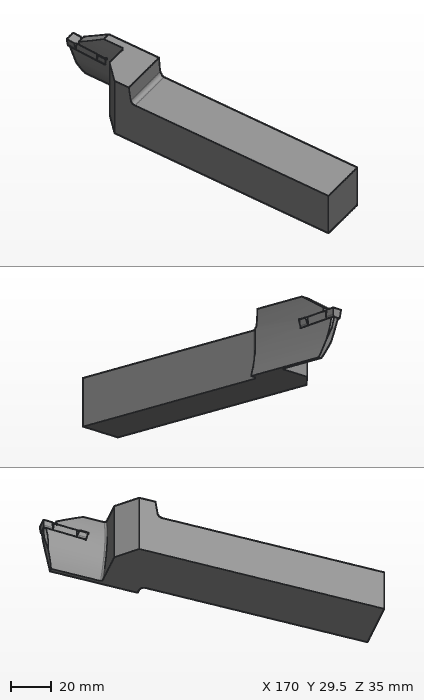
import cadquery as cq
import math

overall_length = 170.0
shank_width = 25.0
shank_height = 25.0
edge_height = shank_height

head_height = 35.0
head_front_x = 33.0
head_corner_chamfer = 9.6
head_back_x = 51.1
head_back_angle = 8.0
head_back_fillet = 2.5

blade_front_y = 20.85
blade_front_radius = 50.0
blade_back_y = 25.6
blade_back_radius = 81.9
blade_root_fillet = 1.0
bulge_end_x = 52.2
bulge_fillet = 2.5

clamp_ramp_angle = 31.0
clamp_ramp_top_x = 21.1
clamp_nose_x = 6.8
clamp_heel_x = 7.3
tip_x = 0.5
tip_upper_angle = 10.0
tip_break_z = 15.2
tip_foot_x = 6.5
tip_chamfer = 1.0

insert_tilt = 3.4
insert_length = 23.3
insert_height = 4.5
insert_end_clearance = 7.5
insert_body_width = 4.5
insert_head_width = 5.7
insert_head_lower_width = 4.9
insert_head_length = 4.4
insert_neck_length = 1.2
insert_head_side_height = 3.2
insert_head_height = 4.2
insert_center_y = (blade_front_y + blade_back_y) / 2
seat_relief_radius = 0.45

clear = 5.0
cutting_width = 50.0


def arc_y(apex_y, radius, z):
    """Y of a blade side at height z."""
    return apex_y + radius - math.sqrt(radius**2 - (z - edge_height) ** 2)


def blade_side_region(apex_y, radius, start_y, z_low, z_high, start_x, length):
    """Prism along X between the plane Y = start_y and one curved blade side."""
    return (
        cq.Workplane("YZ", origin=(start_x, 0, 0))
        .moveTo(start_y, z_low)
        .lineTo(arc_y(apex_y, radius, z_low), z_low)
        .threePointArc((apex_y, edge_height), (arc_y(apex_y, radius, z_high), z_high))
        .lineTo(start_y, z_high)
        .close()
        .extrude(length)
    )


def tilted(x, depth):
    """XZ point at a distance x along the insert's top and a depth below it."""
    angle = math.radians(insert_tilt)
    return (
        x * math.cos(angle) - depth * math.sin(angle),
        edge_height - x * math.sin(angle) - depth * math.cos(angle),
    )


def extrude_y(points, y_low, y_high):
    """Prism along Y with an XZ outline."""
    return cq.Workplane("XZ", origin=(0, y_high, 0)).polyline(points).close().extrude(y_high - y_low)


def tip_point(z):
    """XZ point on the upper tip face at height z."""
    seat_z = edge_height - insert_height
    return (tip_x + (seat_z - z) * math.tan(math.radians(tip_upper_angle)), z)


def side_outline():
    """Holder silhouette in XZ, extruded across the whole width."""
    lean = math.radians(head_back_angle)
    wall_drop = head_height - shank_height - head_back_fillet * (1 - math.sin(lean))
    wall_x = head_back_x + wall_drop * math.tan(lean)
    center_x = wall_x + head_back_fillet * math.cos(lean)
    center_z = shank_height + head_back_fillet
    arc_middle = math.radians((180 + head_back_angle + 270) / 2)
    mid = (
        center_x + head_back_fillet * math.cos(arc_middle),
        center_z + head_back_fillet * math.sin(arc_middle),
    )
    nose_z = head_height - (clamp_ramp_top_x - clamp_nose_x) * math.tan(math.radians(clamp_ramp_angle))
    heel_z = edge_height - clamp_heel_x * math.tan(math.radians(insert_tilt))
    return (
        cq.Workplane("XZ", origin=(0, cutting_width, 0))
        .moveTo(*tip_point(0))
        .lineTo(overall_length, 0)
        .lineTo(overall_length, shank_height)
        .lineTo(center_x, shank_height)
        .threePointArc(mid, (wall_x, head_height - wall_drop))
        .lineTo(head_back_x, head_height)
        .lineTo(clamp_ramp_top_x, head_height)
        .lineTo(clamp_nose_x, nose_z)
        .lineTo(clamp_heel_x, heel_z)
        .lineTo(*tip_point(edge_height - insert_height))
        .close()
        .extrude(cutting_width)
    )


def head_blank():
    """Head with the curved back, run out into the shank by a concave fillet."""
    fillet_center_x = bulge_end_x + bulge_fillet
    curved = blade_side_region(blade_back_y, blade_back_radius, 0, 0, head_height, 0, fillet_center_x)
    fillet_center_y = shank_width + bulge_fillet
    reach = bulge_fillet * math.sqrt(0.5)
    plan = (
        cq.Workplane("XY")
        .lineTo(fillet_center_x, 0)
        .lineTo(fillet_center_x, shank_width)
        .threePointArc((fillet_center_x - reach, fillet_center_y - reach), (bulge_end_x, fillet_center_y))
        .lineTo(bulge_end_x, cutting_width)
        .lineTo(0, cutting_width)
        .close()
        .extrude(head_height)
    )
    return curved.intersect(plan)


def blade_clearance():
    """Space in front of the blade, rounded where the blade meets the head."""
    tool = blade_side_region(
        blade_front_y, blade_front_radius, -clear, -clear, head_height + clear,
        -clear, head_front_x + clear,
    )
    root_edge = tool.faces(">X").edges("%CIRCLE")
    return root_edge.fillet(blade_root_fillet)


def head_corner():
    """Triangular prism cut from the head's front corner."""
    return (
        cq.Workplane("XY")
        .moveTo(head_front_x, head_corner_chamfer)
        .lineTo(head_front_x + head_corner_chamfer, 0)
        .lineTo(head_front_x, 0)
        .close()
        .extrude(head_height)
    )


def tip_corner(apex_y, radius, inward):
    """45 degree wedge along one edge of the upper tip face, down to where the lower relief ends it."""
    lower_run = tip_foot_x - tip_point(tip_break_z)[0]
    extra_slope = lower_run / tip_break_z - math.tan(math.radians(tip_upper_angle))
    fade_z = tip_break_z - tip_chamfer / extra_slope

    def section(z):
        x = tip_point(z)[0]
        y = arc_y(apex_y, radius, z)
        return cq.Wire.makePolygon(
            [
                cq.Vector(x - tip_chamfer, y - inward * tip_chamfer, z),
                cq.Vector(x - tip_chamfer, y + 2 * inward * tip_chamfer, z),
                cq.Vector(x + 2 * tip_chamfer, y - inward * tip_chamfer, z),
            ],
            close=True,
        )

    seat_z = edge_height - insert_height
    return cq.Workplane(cq.Solid.makeLoft([section(fade_z), section(seat_z)], True))


def lower_tip_clearance():
    """Steeper relief that takes the lower part of the tip back to the foot."""
    outer_x = tip_point(0)[0] - clear
    return extrude_y([tip_point(tip_break_z), (tip_foot_x, 0), (outer_x, 0)], 0, cutting_width)


def insert_outline():
    """XZ outline of the insert: flat top and bottom, both ends relieved downward."""
    set_back = insert_height * math.tan(math.radians(insert_end_clearance))
    return [
        tilted(0, 0),
        tilted(insert_length, 0),
        tilted(insert_length - set_back, insert_height),
        tilted(set_back, insert_height),
    ]


def insert_seat():
    """Through slot that fits the insert, with a round relief at its upper rear corner."""
    slot = extrude_y(insert_outline(), 0, cutting_width)
    corner = tilted(insert_length, 0)
    relief = (
        cq.Workplane("XZ", origin=(0, cutting_width, 0))
        .center(*corner)
        .circle(seat_relief_radius)
        .extrude(cutting_width)
    )
    return slot.union(relief)


def make_holder():
    """Shank, head and thin curved blade in one piece."""
    shank = cq.Workplane("XY").box(
        overall_length - head_front_x, shank_width, shank_height, centered=False
    ).translate((head_front_x, 0, 0))
    holder = head_blank().union(shank).intersect(side_outline())
    holder = holder.cut(blade_clearance()).cut(head_corner())
    holder = holder.cut(insert_seat())
    holder = holder.cut(lower_tip_clearance())
    holder = holder.cut(tip_corner(blade_front_y, blade_front_radius, 1))
    return holder.cut(tip_corner(blade_back_y, blade_back_radius, -1))


def insert_head():
    """Wide cutting end along +X from the origin, centred on Y with its top at Z = 0."""
    half_top = insert_head_width / 2
    half_low = insert_head_lower_width / 2
    half_body = insert_body_width / 2
    total_length = insert_head_length + insert_neck_length
    section = [
        (-half_top, 0),
        (-half_low, -insert_head_side_height),
        (-half_body, -insert_head_height),
        (half_body, -insert_head_height),
        (half_low, -insert_head_side_height),
        (half_top, 0),
    ]
    plan = [
        (0, -half_top),
        (insert_head_length, -half_top),
        (total_length, -half_body),
        (total_length, half_body),
        (insert_head_length, half_top),
        (0, half_top),
    ]
    bar = cq.Workplane("YZ").polyline(section).close().extrude(total_length)
    return bar.intersect(
        cq.Workplane("XY").workplane(offset=-insert_height).polyline(plan).close().extrude(insert_height)
    )


def make_insert():
    """Insert with a wide cutting end at both ends, laid into its tilted seat."""
    bar = cq.Workplane("XY").box(
        insert_length, insert_body_width, insert_height, centered=(False, True, False)
    ).translate((0, 0, -insert_height))
    front_head = insert_head()
    rear_head = insert_head().mirror("YZ").translate((insert_length, 0, 0))
    blank = bar.union(front_head).union(rear_head)
    blank = blank.rotate((0, 0, 0), (0, 1, 0), insert_tilt)
    blank = blank.translate((0, insert_center_y, edge_height))
    return blank.intersect(extrude_y(insert_outline(), 0, cutting_width))


holder = make_holder().solids()
insert = make_insert().solids()
result = cq.Compound.makeCompound([holder.val(), insert.val()])